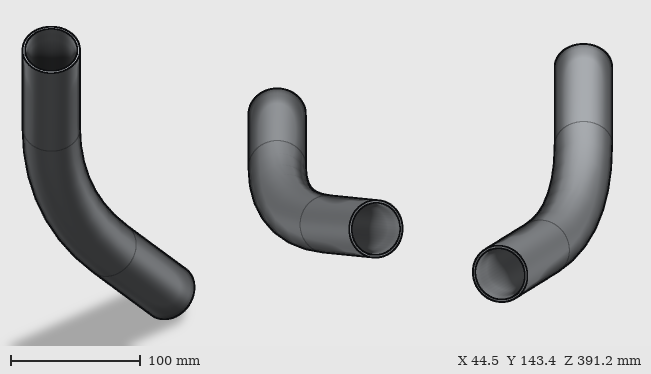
import cadquery as cq
import math

outer_diameter = 44.5
inner_diameter = 40.3
overall_height = 391.2
straight_length = 101.7
bend_angle = 30.0

angle = math.radians(bend_angle)
lower_end_height = straight_length * math.cos(angle) + outer_diameter / 2 * math.sin(angle)
bend_height = overall_height - straight_length - lower_end_height
bend_radius = bend_height / math.sin(angle)


def bend_point(turn):
    """Point (Y, Z) on the bend centreline after turning by the given angle."""
    y = bend_radius * (1 - math.cos(turn))
    z = -straight_length - bend_radius * math.sin(turn)
    return y, z


bend_end_y, bend_end_z = bend_point(angle)
lower_end = (
    bend_end_y + straight_length * math.sin(angle),
    bend_end_z - straight_length * math.cos(angle),
)
centreline = (
    cq.Workplane("YZ")
    .lineTo(0, -straight_length)
    .threePointArc(bend_point(angle / 2), (bend_end_y, bend_end_z))
    .lineTo(*lower_end)
)

wall_section = cq.Workplane("XY").circle(outer_diameter / 2).circle(inner_diameter / 2)
result = wall_section.sweep(centreline)